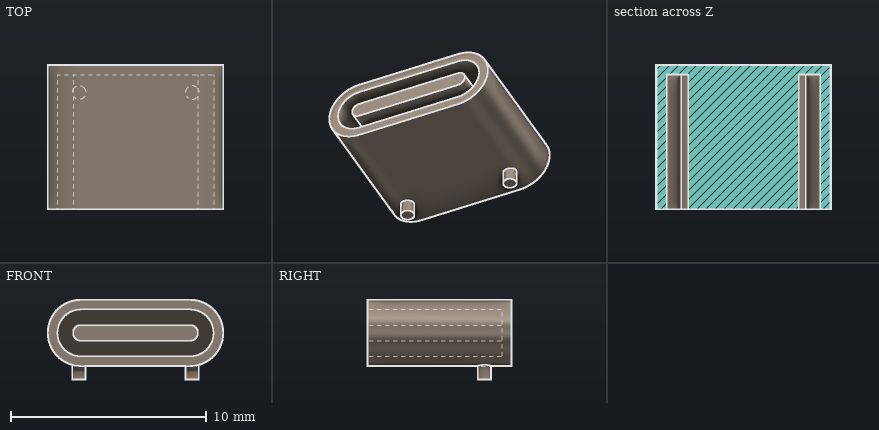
import cadquery as cq

shell_width = 9.0
shell_height = 3.4
shell_length = 7.4
wall = 0.5

tongue_width = 6.4
tongue_height = 0.8

pin_diameter = 0.7
pin_length = 0.7
pin_spacing = 5.8
pin_back_distance = 1.4

front_y = -shell_length / 2
back_y = shell_length / 2
cavity_floor_y = back_y - wall


def stadium_bar(width, height, start_y, end_y):
    """Bar with full-round sides, running along Y from start_y to end_y."""
    section = cq.Workplane("XZ", origin=(0, start_y, 0)).slot2D(width, height)
    return section.extrude(start_y - end_y)


def make_shell():
    body = stadium_bar(shell_width, shell_height, front_y, back_y)
    cavity = stadium_bar(shell_width - 2 * wall, shell_height - 2 * wall, front_y, cavity_floor_y)
    return body.cut(cavity)


def make_tongue():
    return stadium_bar(tongue_width, tongue_height, front_y, back_y)


def make_pin(x):
    top_z = -shell_height / 2 + wall / 2
    pin_plane = cq.Workplane("XY", origin=(x, back_y - pin_back_distance, top_z))
    return pin_plane.circle(pin_diameter / 2).extrude(-(pin_length + wall / 2))


result = make_shell().union(make_tongue())
for side in (-1, 1):
    result = result.union(make_pin(side * pin_spacing / 2))